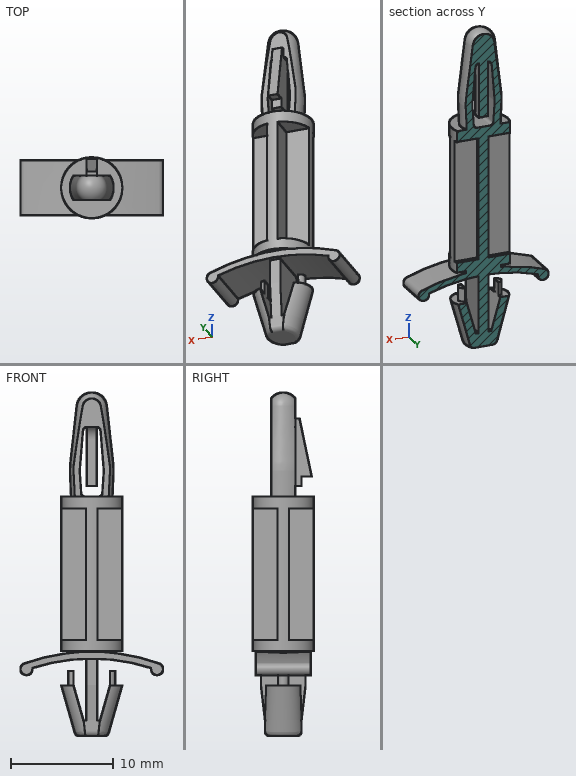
import cadquery as cq
import math


column_radius = 3.0
column_height = 15.15
lower_collar_height = 1.1
upper_collar_height = 1.2
rib_thickness = 1.1

pin_height = 10.2
pin_thickness = 2.4
pin_tip_radius = 1.5
pin_base_radius = 2.05
pin_widest_radius = 2.15
pin_widest_height = 2.5
pin_shoulder_radius = 2.1
pin_shoulder_height = 3.4

window_height = 6.8
window_base_half_width = 1.0
window_widest_half_width = 1.17
window_top_half_width = 0.82
window_corner_radius = 0.4
window_foot_radius = 0.3

latch_width = 1.0
latch_inner_y = 0.0
latch_shank_y = 1.8
latch_barb_y = 2.8
latch_top_y = 1.6
latch_bottom = 1.0
latch_barb_bottom = 1.95
latch_top = 7.65
latch_root_radius = pin_thickness / 2

plate_length = 14.0
plate_width = 5.4
plate_thickness = 0.7
plate_outer_radius = 19.5
plate_bead_radius = 0.6
neck_radius = 2.1
neck_height = 0.06

plug_bottom = -8.35
base_top = -6.8
barb_top = -3.37
tab_top = -1.95
stem_half_width = 2.2
base_half_width = 1.8
barb_top_half_width = 1.68
barb_top_inner_x = 1.78
barb_base_inner_x = 0.8
base_bottom_inner_x = 0.62
barb_top_outer_x = column_radius
barb_base_outer_x = 2.02
base_bottom_outer_x = 1.58
base_edge_radius = 0.5
tab_radius = 0.53


def make_column():
    shaft = cq.Workplane("XY").circle(column_radius).extrude(column_height)
    rib_length = 2 * column_radius
    rib_height = column_height - lower_collar_height - upper_collar_height
    cross = (
        cq.Workplane("XY", origin=(0, 0, lower_collar_height))
        .rect(rib_length, rib_thickness)
        .extrude(rib_height)
        .union(
            cq.Workplane("XY", origin=(0, 0, lower_collar_height))
            .rect(rib_thickness, rib_length)
            .extrude(rib_height)
        )
    )
    gaps = (
        cq.Workplane("XY", origin=(0, 0, lower_collar_height))
        .circle(2 * column_radius)
        .extrude(rib_height)
        .cut(cross)
    )
    return shaft.cut(gaps)


def make_pin():
    """Bullet-shaped pin, flattened front and back, with a window between its legs."""
    tip_centre = pin_height - pin_tip_radius
    taper = math.atan2(pin_shoulder_radius - pin_tip_radius, tip_centre - pin_shoulder_height)
    middle = (math.pi / 2 + taper) / 2
    body = (
        cq.Workplane("XZ")
        .moveTo(0, 0)
        .lineTo(pin_base_radius, 0)
        .lineTo(pin_widest_radius, pin_widest_height)
        .tangentArcPoint((pin_shoulder_radius, pin_shoulder_height), relative=False)
        .lineTo(pin_tip_radius * math.cos(taper), tip_centre + pin_tip_radius * math.sin(taper))
        .threePointArc(
            (pin_tip_radius * math.cos(middle), tip_centre + pin_tip_radius * math.sin(middle)),
            (0, pin_height),
        )
        .close()
        .revolve(360, (0, 0, 0), (0, 1, 0))
    )
    slab = cq.Workplane("XY").box(
        2 * column_radius, pin_thickness, pin_height, centered=(True, True, False)
    )
    window = (
        cq.Workplane("XZ", origin=(0, pin_thickness, 0))
        .polyline([
            (-window_base_half_width, 0),
            (-window_widest_half_width, pin_widest_height),
            (-window_top_half_width, window_height),
            (window_top_half_width, window_height),
            (window_widest_half_width, pin_widest_height),
            (window_base_half_width, 0),
        ])
        .close()
        .extrude(2 * pin_thickness)
        .edges("|Y and >Z")
        .fillet(window_corner_radius)
        .edges("|Y and <Z")
        .fillet(window_foot_radius)
    )
    return body.intersect(slab).cut(window).translate((0, 0, column_height))


def make_latch():
    """Wedge-shaped catch with a curved root that joins the roof of the pin's window."""
    root_start_y = latch_inner_y - latch_root_radius
    root_bottom = window_height - latch_root_radius
    arc_offset = latch_root_radius * math.sqrt(0.5)
    return (
        cq.Workplane("YZ", origin=(-latch_width / 2, 0, column_height))
        .moveTo(latch_inner_y, latch_bottom)
        .lineTo(latch_shank_y, latch_bottom)
        .lineTo(latch_shank_y, latch_barb_bottom)
        .lineTo(latch_barb_y, latch_barb_bottom)
        .lineTo(latch_top_y, latch_top)
        .lineTo(root_start_y, latch_top)
        .lineTo(root_start_y, window_height)
        .threePointArc(
            (root_start_y + arc_offset, root_bottom + arc_offset),
            (latch_inner_y, root_bottom),
        )
        .close()
        .extrude(latch_width)
    )


def make_spring_plate():
    """Arched plate with a round bead along each end, joined to the column by a short neck."""
    centre_z = -neck_height - plate_outer_radius
    inner_radius = plate_outer_radius - plate_thickness
    bead_orbit = plate_outer_radius - plate_bead_radius
    bead_x = plate_length / 2 - plate_bead_radius
    end_angle = math.asin(bead_x / bead_orbit)
    bead_z = centre_z + bead_orbit * math.cos(end_angle)

    def arc_point(radius, angle):
        return (radius * math.sin(angle), centre_z + radius * math.cos(angle))

    plate = (
        cq.Workplane("XZ", origin=(0, plate_width / 2, 0))
        .moveTo(*arc_point(plate_outer_radius, -end_angle))
        .threePointArc(arc_point(plate_outer_radius, 0), arc_point(plate_outer_radius, end_angle))
        .lineTo(*arc_point(inner_radius, end_angle))
        .threePointArc(arc_point(inner_radius, 0), arc_point(inner_radius, -end_angle))
        .close()
        .extrude(plate_width)
    )
    beads = (
        cq.Workplane("XZ", origin=(0, plate_width / 2, 0))
        .pushPoints([(-bead_x, bead_z), (bead_x, bead_z)])
        .circle(plate_bead_radius)
        .extrude(plate_width)
    )
    neck_depth = neck_height + plate_thickness / 2
    neck = cq.Workplane("XY").circle(neck_radius).extrude(-neck_depth)
    return plate.union(beads).union(neck)


def make_stem():
    """Flat stem from the spring plate to the plug base, narrowing below the barb tops."""
    stem_top = -neck_height - plate_thickness / 2
    return (
        cq.Workplane("YZ", origin=(-rib_thickness / 2, 0, 0))
        .polyline([
            (-stem_half_width, stem_top),
            (-stem_half_width, barb_top),
            (-base_half_width, base_top),
            (base_half_width, base_top),
            (stem_half_width, barb_top),
            (stem_half_width, stem_top),
        ])
        .close()
        .extrude(rib_thickness)
    )


def make_barb():
    """Slanted barb on the +X side: flat inside, rounded outside, with a tab on top."""
    barb = (
        cq.Workplane("XY", origin=(0, 0, base_top))
        .moveTo(barb_base_inner_x, -base_half_width)
        .threePointArc((barb_base_outer_x, 0), (barb_base_inner_x, base_half_width))
        .close()
        .workplane(offset=barb_top - base_top)
        .moveTo(barb_top_inner_x, -barb_top_half_width)
        .threePointArc((barb_top_outer_x, 0), (barb_top_inner_x, barb_top_half_width))
        .close()
        .loft(ruled=True)
    )
    tab = (
        cq.Workplane("XY", origin=(0, 0, barb_top))
        .moveTo(barb_top_inner_x, -tab_radius)
        .threePointArc((barb_top_inner_x + tab_radius, 0), (barb_top_inner_x, tab_radius))
        .close()
        .extrude(tab_top - barb_top)
    )
    return barb.union(tab)


def base_outline(workplane, inner_x, outer_x):
    """Outline with flat front and back and a rounded stretch on each side."""
    return (
        workplane.moveTo(-inner_x, -base_half_width)
        .lineTo(inner_x, -base_half_width)
        .threePointArc((outer_x, 0), (inner_x, base_half_width))
        .lineTo(-inner_x, base_half_width)
        .threePointArc((-outer_x, 0), (-inner_x, -base_half_width))
        .close()
    )


def make_plug_base():
    bottom = base_outline(
        cq.Workplane("XY", origin=(0, 0, plug_bottom)), base_bottom_inner_x, base_bottom_outer_x
    )
    top = base_outline(
        bottom.workplane(offset=base_top - plug_bottom), barb_base_inner_x, barb_base_outer_x
    )
    return top.loft(ruled=True).faces("<Z").edges().fillet(base_edge_radius)


barb = make_barb()
result = (
    make_column()
    .union(make_pin())
    .union(make_latch())
    .union(make_spring_plate())
    .union(make_stem())
    .union(make_plug_base())
    .union(barb)
    .union(barb.mirror("YZ"))
)